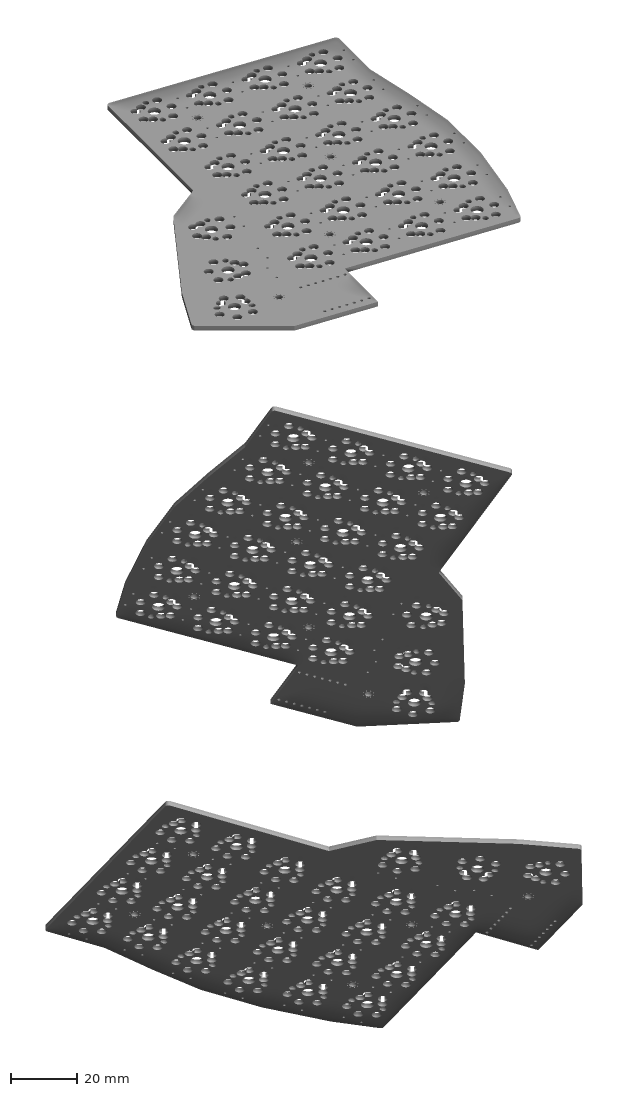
import cadquery as cq
import math


board_length = 136.8
board_width = 122.6
board_thickness = 1.6
corner_radius = 1.1
left_bottom = 36.3
left_top = 115.5
field_right = 115.6
tab_top = 55.5

pin_pitch = 2.53
key_pitch = 7.5 * pin_pitch
row_count = 4
first_key_x = 10.5
first_key_y = 47.0
stagger_step = key_pitch / 8
column_stagger = [0, 0, 2, 3, 2, 1]

thumb_keys = [(77.2, 30.6, -15), (99.6, 24.2, 160), (118.6, 16.1, -110)]

stem_diameter = 4.0
contact_diameter = 3.0
top_contact_y = 5.9
side_contact_x, side_contact_y = 5.0, 3.7
socket_grid = pin_pitch / 2
upper_socket_x, upper_socket_y = 3 * socket_grid, -2 * socket_grid
lower_socket_x, lower_socket_y = 2 * socket_grid, -4 * socket_grid
inner_peg_x = 4 * socket_grid
inner_peg_diameter = 1.6
outer_peg_x = 5.5
outer_peg_diameter = 1.9

diode_diameter = 0.81
diode_half_span = 3.0
diode_rise = 9.6
thumb_diodes = [(77.2, 40.1), (96.2, 37.9), (107.3, 35.2)]

pin_diameter = 1.0
pin_count = 7
first_pin_x, first_pin_y = 118.6, 38.9
header_spacing = 6 * pin_pitch

mount_diameter = 2.3
via_diameter = 0.4
via_count = 8
via_ring_radius = 1.6
mounts = [(20.0, 94.7), (20.0, 56.8), (58.3, 81.7), (96.3, 98.6), (96.5, 60.7), (120.2, 30.5)]


def make_board():
    """Plate with the board outline and rounded outer corners."""
    bottom_tip = (122.0, -0.3)
    field_corner = (field_right, 116.0)
    rounded_corners = [(0, left_bottom), bottom_tip, field_corner, (0, left_top)]
    outline = [
        (0, left_bottom),
        (55.3, left_bottom),
        (65.1, 24.1),
        (104.0, 6.0),
        bottom_tip,
        (board_length, 27.0),
        (board_length, tab_top),
        (field_right, tab_top),
        field_corner,
        (100.0, 119.8),
        (78.1, board_width),
        (57.2, board_width),
        (39.0, 119.4),
        (20.7, left_top),
        (0, left_top),
    ]
    board = cq.Workplane("XY").polyline(outline).close().extrude(board_thickness)
    for x, y in rounded_corners:
        corner = cq.selectors.NearestToPointSelector((x, y, board_thickness / 2))
        board = board.edges("|Z").edges(corner).fillet(corner_radius)
    return board


def drill(board, points, diameter):
    """Drill through holes of one diameter; the holes must not overlap each other."""
    holes = cq.Workplane("XY").pushPoints(points).circle(diameter / 2).extrude(board_thickness)
    return board.cut(holes)


def place(points, x, y, angle):
    """Turn points about the origin, then move them to x, y."""
    c = math.cos(math.radians(angle))
    s = math.sin(math.radians(angle))
    return [(x + px * c - py * s, y + px * s + py * c) for px, py in points]


def mirrored(x, y):
    """A point and its mirror image across the key's centre line."""
    return [(-x, y), (x, y)]


field_keys = [
    (first_key_x + column * key_pitch, first_key_y + row * key_pitch + steps * stagger_step, 0)
    for column, steps in enumerate(column_stagger)
    for row in range(row_count)
]
keys = field_keys + thumb_keys

key_hole_groups = [
    ([(0, 0)], stem_diameter),
    ([(0, top_contact_y)], contact_diameter),
    (mirrored(side_contact_x, side_contact_y), contact_diameter),
    (mirrored(upper_socket_x, upper_socket_y), contact_diameter),
    (mirrored(lower_socket_x, lower_socket_y), contact_diameter),
    (mirrored(inner_peg_x, 0), inner_peg_diameter),
    (mirrored(outer_peg_x, 0), outer_peg_diameter),
]

result = make_board()

for group, diameter in key_hole_groups:
    result = drill(result, [p for key in keys for p in place(group, *key)], diameter)

diodes = [(x, y + diode_rise) for x, y, _ in field_keys] + thumb_diodes
diode_leads = [(x + dx, y) for x, y in diodes for dx in (-diode_half_span, diode_half_span)]
result = drill(result, diode_leads, diode_diameter)

pins = [
    (first_pin_x + side * header_spacing, first_pin_y + i * pin_pitch)
    for side in range(2)
    for i in range(pin_count)
]
result = drill(result, pins, pin_diameter)

result = drill(result, mounts, mount_diameter)
vias = [
    (x + via_ring_radius * math.cos(turn), y + via_ring_radius * math.sin(turn))
    for x, y in mounts
    for turn in [i * 2 * math.pi / via_count for i in range(via_count)]
]
result = drill(result, vias, via_diameter)